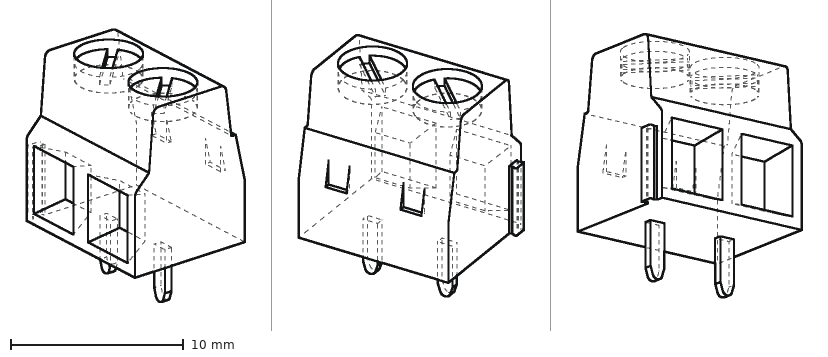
import cadquery as cq

POLES = 2
PITCH = 5.08
LENGTH = POLES * PITCH
DEPTH = 8.1
HEIGHT = 10.4
MID_Y = DEPTH / 2

FRONT_WALL_TOP = 5.34
LEDGE_Y = 1.04
LEDGE_Z = 6.4
TOP_FRONT_Y = 1.38
TOP_BACK_Y = 6.69
STEP_Z = 7.0
STEP_INNER_Y = 7.12
STEP_OUTER_Y = 7.44
BACK_WALL_TOP = 3.92
EDGE_RADIUS = 0.5
TOP_RADIUS = 0.4
STEP_RADIUS = 0.1

ENTRY_WIDTH = 3.68
ENTRY_BOTTOM = 0.7
ENTRY_TOP = 5.0
ENTRY_INSET = 0.65
ENTRY_DEPTH = 1.81

SCREW_DIAMETER = 3.95
SCREW_CLEARANCE = 0.03
SCREW_SINK = 0.6
SCREW_THICKNESS = 1.0
SLOT_WIDTH = 0.6
SLOT_DEPTH = 0.5
SLOT_ANGLE = -45

PIN_WIDTH = 1.0
PIN_THICKNESS = 0.5
PIN_LENGTH = 3.5
PIN_TAPER_START = 2.78
PIN_TAPER_END = 3.2
PIN_TIP_WIDTH = 0.72

RIB_PROJECTION = 0.5
RIB_HEIGHT = 4.49
RIB_MID_Y = 0.92
RIB_WIDTH = 0.95
RIB_NECK_WIDTH = 0.7
RIB_LIP = 0.33
RIB_FOOT = 0.11
RIB_FOOT_WIDTH = 0.85
RIB_EDGE_RADIUS = 0.07

NOTCH_WIDTH = 1.42
NOTCH_DEPTH = 0.35

POLE_XS = [(pole + 0.5) * PITCH for pole in range(POLES)]


def make_housing_block():
    outline = [
        (0, 0),
        (0, FRONT_WALL_TOP),
        (LEDGE_Y, LEDGE_Z),
        (TOP_FRONT_Y, HEIGHT),
        (TOP_BACK_Y, HEIGHT),
        (STEP_INNER_Y, STEP_Z),
        (STEP_OUTER_Y, STEP_Z),
        (DEPTH, BACK_WALL_TOP),
        (DEPTH, 0),
    ]
    block = cq.Workplane("YZ").polyline(outline).close().extrude(LENGTH)
    rounded_edges = [
        (0, FRONT_WALL_TOP, EDGE_RADIUS),
        (TOP_FRONT_Y, HEIGHT, TOP_RADIUS),
        (TOP_BACK_Y, HEIGHT, TOP_RADIUS),
        (STEP_INNER_Y, STEP_Z, STEP_RADIUS),
    ]
    for y, z, radius in rounded_edges:
        edge = cq.selectors.NearestToPointSelector((LENGTH / 2, y, z))
        block = block.edges("|X").edges(edge).fillet(radius)
    return block


def make_rib():
    half_width = RIB_WIDTH / 2
    half_neck = RIB_NECK_WIDTH / 2
    outer_half = [
        (0, RIB_FOOT_WIDTH / 2),
        (-RIB_FOOT, half_neck),
        (-RIB_PROJECTION + RIB_LIP, half_neck),
        (-RIB_PROJECTION, half_width),
    ]
    mirrored_half = [(x, -y) for x, y in reversed(outer_half)]
    rib = cq.Workplane("XY").polyline(outer_half + mirrored_half).close().extrude(RIB_HEIGHT)
    rib = rib.edges("|Z and <X").fillet(RIB_EDGE_RADIUS)
    return rib.translate((0, RIB_MID_Y, 0))


def make_wire_entry(x):
    mid_z = (ENTRY_BOTTOM + ENTRY_TOP) / 2
    entry_height = ENTRY_TOP - ENTRY_BOTTOM
    return (
        cq.Workplane("XZ", origin=(x, 0, mid_z))
        .rect(ENTRY_WIDTH, entry_height)
        .workplane(offset=-ENTRY_DEPTH)
        .rect(ENTRY_WIDTH - 2 * ENTRY_INSET, entry_height - 2 * ENTRY_INSET)
        .loft(ruled=True)
    )


def make_screw_hole(x):
    depth = SCREW_SINK + SCREW_THICKNESS
    radius = SCREW_DIAMETER / 2 + SCREW_CLEARANCE
    return cq.Workplane("XY", origin=(x, MID_Y, HEIGHT - depth)).circle(radius).extrude(depth)


def make_back_notch(x):
    return cq.Workplane("XY").box(
        NOTCH_WIDTH, NOTCH_DEPTH, STEP_Z - BACK_WALL_TOP, centered=(True, False, False)
    ).translate((x, DEPTH - NOTCH_DEPTH, BACK_WALL_TOP))


def make_housing():
    housing = make_housing_block().union(make_rib())
    for x in POLE_XS:
        housing = housing.cut(make_wire_entry(x))
        housing = housing.cut(make_screw_hole(x))
        housing = housing.cut(make_back_notch(x))
    return housing


def make_screw(x):
    head = cq.Workplane("XY").circle(SCREW_DIAMETER / 2).extrude(SCREW_THICKNESS)
    slot = (
        cq.Workplane("XY", origin=(0, 0, SCREW_THICKNESS - SLOT_DEPTH))
        .rect(SCREW_DIAMETER * 2, SLOT_WIDTH)
        .extrude(SLOT_DEPTH)
        .rotate((0, 0, 0), (0, 0, 1), SLOT_ANGLE)
    )
    return head.cut(slot).translate((x, MID_Y, HEIGHT - SCREW_SINK - SCREW_THICKNESS))


def make_pin(x):
    half_width = PIN_WIDTH / 2
    half_tip = PIN_TIP_WIDTH / 2
    return (
        cq.Workplane("XZ", origin=(x, MID_Y + PIN_THICKNESS / 2, 0))
        .moveTo(-half_width, 0)
        .lineTo(-half_width, -PIN_TAPER_START)
        .lineTo(-half_tip, -PIN_TAPER_END)
        .threePointArc((0, -PIN_LENGTH), (half_tip, -PIN_TAPER_END))
        .lineTo(half_width, -PIN_TAPER_START)
        .lineTo(half_width, 0)
        .close()
        .extrude(PIN_THICKNESS)
    )


housing = make_housing()
screws = [make_screw(x) for x in POLE_XS]
pins = [make_pin(x) for x in POLE_XS]

result = cq.Compound.makeCompound([
    housing.val(),
    *[screw.val() for screw in screws],
    *[pin.val() for pin in pins],
])